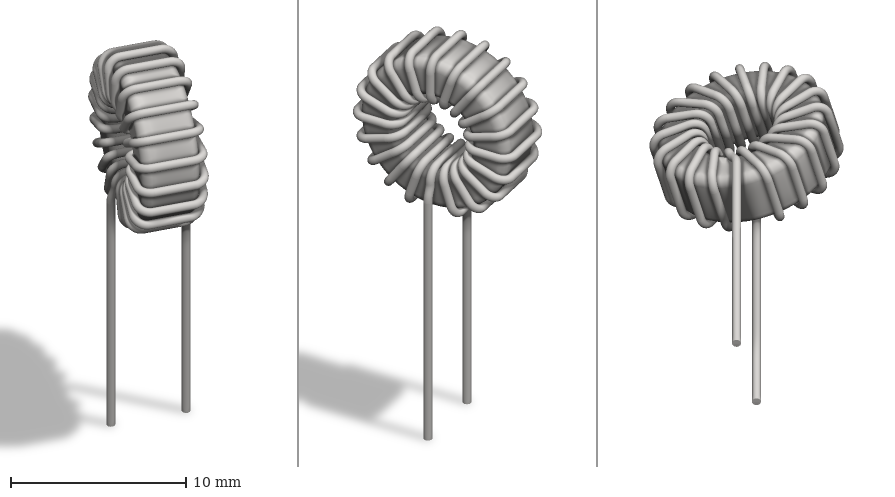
import cadquery as cq
import math

CORE_OUTER_DIAMETER = 9.75
CORE_INNER_DIAMETER = 5.0
CORE_THICKNESS = 3.45
CORE_EDGE_RADIUS = 0.5

WIRE_DIAMETER = 0.5
TURNS = 20
LEAD_OFFSET = 2.25
LEAD_TOP_DROP = 4.15
OVERALL_HEIGHT = 25.5

WIRE_RADIUS = WIRE_DIAMETER / 2
PITCH_ANGLE = 360 / TURNS
FIRST_TURN_ANGLE = 270
INNER_WIRE_RADIUS = CORE_INNER_DIAMETER / 2 - WIRE_RADIUS
OUTER_WIRE_RADIUS = CORE_OUTER_DIAMETER / 2 + WIRE_RADIUS
FACE_OFFSET = CORE_THICKNESS / 2 + WIRE_RADIUS
BEND_RADIUS = CORE_EDGE_RADIUS + WIRE_RADIUS
LEAD_BOTTOM_DROP = OVERALL_HEIGHT - OUTER_WIRE_RADIUS - WIRE_RADIUS

DOWN = cq.Vector(0, 0, -1)
UP = cq.Vector(0, 0, 1)


def make_core():
    """Ring with all four circular edges rounded."""
    ring = (
        cq.Workplane("XZ", origin=(0, CORE_THICKNESS / 2, 0))
        .circle(CORE_OUTER_DIAMETER / 2)
        .circle(CORE_INNER_DIAMETER / 2)
        .extrude(CORE_THICKNESS)
    )
    return ring.faces("|Y").edges().fillet(CORE_EDGE_RADIUS)


def wire_point(radius, angle, y):
    """Point at a polar position around the core axis, angle in degrees from +X towards +Z."""
    turn = math.radians(angle)
    return cq.Vector(radius * math.cos(turn), y, radius * math.sin(turn))


def lead_point(drop, side):
    """Point on a straight lead; side is -1 for the front lead and +1 for the rear one."""
    return cq.Vector(0, side * LEAD_OFFSET, -drop)


def winding_corners():
    """Sharp corners of the wire path from the first inner pass to the last one."""
    corners = []
    for turn in range(TURNS):
        angle = FIRST_TURN_ANGLE - turn * PITCH_ANGLE
        if turn > 0:
            corners.append(wire_point(OUTER_WIRE_RADIUS, angle, FACE_OFFSET))
            corners.append(wire_point(OUTER_WIRE_RADIUS, angle, -FACE_OFFSET))
        corners.append(wire_point(INNER_WIRE_RADIUS, angle, -FACE_OFFSET))
        corners.append(wire_point(INNER_WIRE_RADIUS, angle, FACE_OFFSET))
    return corners


def bend(before, corner, after):
    """Quarter-circle arc that rounds a right-angled corner of the path."""
    towards_start = (before - corner).normalized()
    towards_end = (after - corner).normalized()
    centre = corner + (towards_start + towards_end) * BEND_RADIUS
    middle = centre - (towards_start + towards_end).normalized() * BEND_RADIUS
    start = corner + towards_start * BEND_RADIUS
    end = corner + towards_end * BEND_RADIUS
    return cq.Edge.makeThreePointArc(start, middle, end)


def make_winding():
    """Wire swept from the tip of the front lead, around all turns, to the tip of the rear lead."""
    corners = winding_corners()
    front_top = lead_point(LEAD_TOP_DROP, -1)
    rear_top = lead_point(LEAD_TOP_DROP, 1)
    front_approach = wire_point(LEAD_TOP_DROP, FIRST_TURN_ANGLE, -FACE_OFFSET)
    rear_approach = wire_point(LEAD_TOP_DROP, FIRST_TURN_ANGLE, FACE_OFFSET)
    stations = [front_approach, *corners, rear_approach]
    bends = [bend(*stations[i - 1:i + 2]) for i in range(1, len(stations) - 1)]

    front_tip = lead_point(LEAD_BOTTOM_DROP, -1)
    front_jog = cq.Edge.makeSpline([front_top, bends[0].startPoint()], tangents=[UP, UP])
    path = [cq.Edge.makeLine(front_tip, front_top), front_jog, bends[0]]
    for previous, current in zip(bends, bends[1:]):
        path.append(cq.Edge.makeLine(previous.endPoint(), current.startPoint()))
        path.append(current)
    rear_start = bends[-1].endPoint()
    rear_direction = (rear_approach - rear_start).normalized()
    path.append(cq.Edge.makeSpline([rear_start, rear_top], tangents=[rear_direction, DOWN]))
    path.append(cq.Edge.makeLine(rear_top, lead_point(LEAD_BOTTOM_DROP, 1)))

    section = cq.Workplane(cq.Plane(front_tip, (1, 0, 0), UP)).circle(WIRE_RADIUS)
    return section.sweep(cq.Workplane(cq.Wire.assembleEdges(path)))


core = make_core()
winding = make_winding()
result = cq.Compound.makeCompound([core.val(), winding.val()])